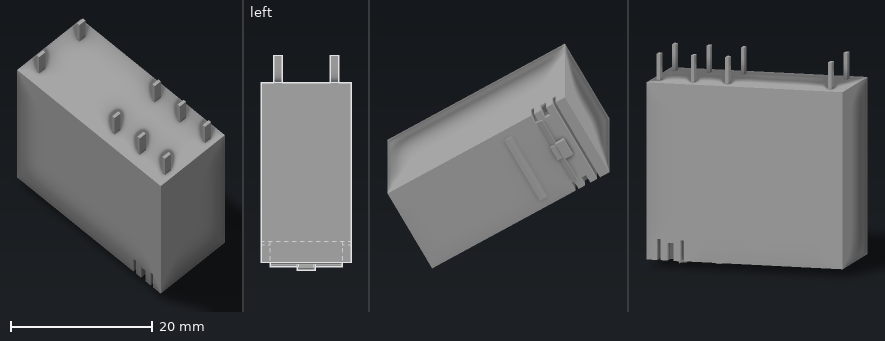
import cadquery as cq

body_length = 28.9
body_width = 12.8
body_height = 25.5
right_end = body_length / 2
left_end = -body_length / 2

pin_thickness = 0.5
pin_width = 1.22
pin_height = 3.87
pin_pitch = 5.05
pin_row_spacing = 8.0
first_pin_x = left_end + 2.4
pin_steps = (0, 3, 4, 5)

slot_width = 0.5
slot_height = 3.0
through_slot_inset = 1.55
narrow_slot_inset = 5.02
window_width = 0.85
window_height = 2.53
window_inset = 3.1
side_wall = 1.28

lever_width = body_width - 2 * side_wall
lever_drop = 0.6
lever_length = 0.97
lever_block_width = 2.15
tab_length = 1.3
tab_width = 2.55
tab_drop = 1.1
tab_right = right_end - window_inset
tab_left = tab_right - tab_length
lever_left = tab_left - lever_length

lip_drop = 0.37
lip_length = 0.65
lip_tip_x = left_end + 18.3


def make_block(x_min, length, width, z_min, height, y_center=0):
    """Box starting at x_min and z_min, centred across its width on y_center."""
    block = cq.Workplane("XY").box(length, width, height, centered=(False, True, False))
    return block.translate((x_min, y_center, z_min))


def make_profile(points, width):
    """Extrude an XZ outline to a width centred on Y = 0."""
    return cq.Workplane("XZ").polyline(points).close().extrude(width / 2, both=True)


def make_slot(inset, width, height, depth, y_center):
    """Cutter for a slot open at the bottom edge."""
    return make_block(right_end - inset - width, width, depth, 0, height, y_center)


result = make_block(left_end, body_length, body_width, 0, body_height)

result = result.cut(make_slot(through_slot_inset, slot_width, slot_height, body_width, 0))
for side in (-1, 1):
    wall_y = side * (body_width - side_wall) / 2
    result = result.cut(make_slot(narrow_slot_inset, slot_width, slot_height, side_wall, wall_y))
    result = result.cut(make_slot(window_inset, window_width, window_height, side_wall, wall_y))

for step in pin_steps:
    pin_left = first_pin_x + step * pin_pitch - pin_thickness / 2
    for side in (-1, 1):
        pin_y = side * pin_row_spacing / 2
        pin = make_block(pin_left, pin_thickness, pin_width, body_height, pin_height, pin_y)
        result = result.union(pin)

wedge_points = [(lever_left, 0), (tab_left, 0), (tab_left, -lever_drop)]
result = result.union(make_profile(wedge_points, lever_width))
result = result.union(make_block(lever_left, lever_length, lever_block_width, -lever_drop, lever_drop))
result = result.union(make_block(tab_left, tab_length, tab_width, -tab_drop, tab_drop))

lip_points = [
    (lip_tip_x, -lip_drop),
    (lip_tip_x + lip_length, -lip_drop),
    (lip_tip_x + 2 * lip_length, 0),
    (lip_tip_x + lip_length, 0),
]
result = result.union(make_profile(lip_points, lever_width))